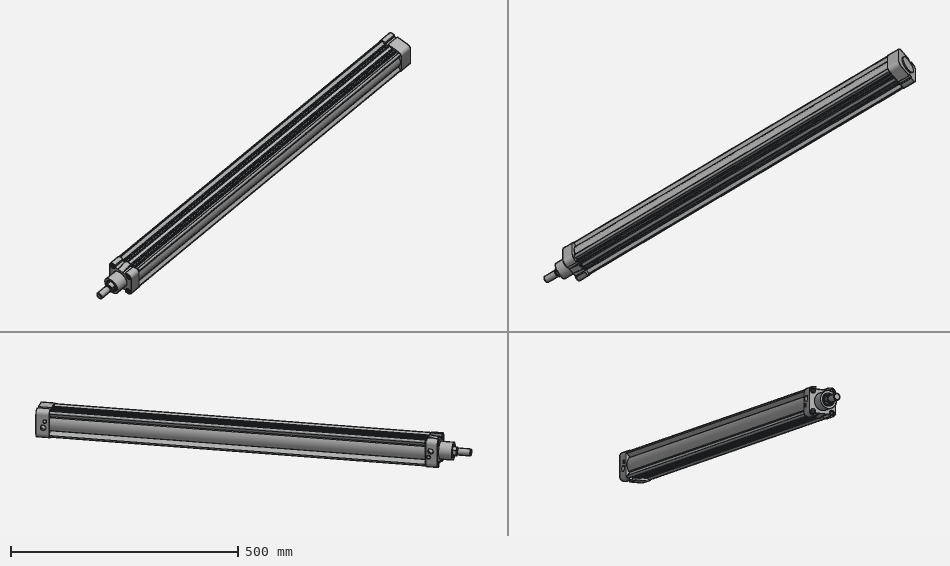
import cadquery as cq
import math


stroke = 800.0
length_beyond_stroke = 106.0
caps_and_tube_length = stroke + length_beyond_stroke
front_cap_length = 26.0
cap_collar_length = 3.0
rear_cap_length = 30.0
front_boss_length = 29.0
rear_boss_length = 3.03
shoulder_distance = 37.0
thread_length = 32.0

cap_size = 65.0
cap_half = cap_size / 2
cap_corner_radius = 10.5
cap_notch_inner = 7.4
cap_notch_outer = 16.0
cap_notch_depth = 6.0
cap_notch_floor = cap_half - cap_notch_depth
cap_face_chamfer = 0.5
collar_diameter = 50.0
boss_diameter = 40.0
seal_recess_diameter = 29.0
seal_recess_depth = 2.5
seal_step_diameter = 24.0
seal_step_depth = 5.0

screw_pitch = 46.5
screw_recess_diameter = 12.0
screw_recess_depth = 1.0
screw_socket_diameter = 6.5
screw_socket_depth = 12.0

port_diameter = 12.5
port_depth = 8.0
port_height = 7.0
front_port_from_face = 15.5
rear_port_from_face = 16.5
cushion_diameter = 8.0
cushion_depth = 3.0
cushion_height = 7.4
cushion_from_face = 20.0
drill_point_angle = 118.0

tube_start = front_cap_length + cap_collar_length
tube_end = caps_and_tube_length - rear_cap_length
tube_length = tube_end - tube_start
tube_half = 30.0
lobe_center = 26.0
lobe_radius = tube_half - lobe_center
lobe_edge = 25.0
lobe_flank = lobe_center + math.sqrt(lobe_radius**2 - (lobe_edge - lobe_center) ** 2)
barrel_radius = 29.5
barrel_edge = 15.0
barrel_flank = math.sqrt(barrel_radius**2 - barrel_edge**2)
groove_inner = 16.2
top_groove_bottom = 23.0
side_groove_bottom = 22.5
groove_wall_rise = 1.5
groove_edge = barrel_edge + groove_wall_rise
rib_half_width = 4.4
rib_top = 28.5
slot_inner = 7.4
slot_outer = 13.3
slot_lip = 27.5
slot_floor = 23.0

rod_diameter = 20.0
thread_diameter = 16.0
undercut_diameter = 14.0
undercut_length = 3.0
tip_chamfer = 1.5
wrench_flats = 17.0
flats_length = shoulder_distance - front_boss_length


def plane_at(y):
    """Sketch plane at position y whose normal is +Y; local x is -X and local y is +Z."""
    return cq.Workplane(cq.Plane(origin=(0, y, 0), xDir=(-1, 0, 0), normal=(0, 1, 0)))


def disc(diameter, y_start, length):
    return plane_at(y_start).circle(diameter / 2).extrude(length)


def block(x_range, y_range, z_range):
    size = [high - low for low, high in (x_range, y_range, z_range)]
    corner = (x_range[0], y_range[0], z_range[0])
    return cq.Workplane("XY").box(*size, centered=False).translate(corner)


def both_z_sides(cutter):
    return cutter.union(cutter.mirror("XY"))


def cap_block(y_start, length):
    square = plane_at(y_start).rect(cap_size, cap_size).extrude(length)
    return square.edges("|Y").fillet(cap_corner_radius)


def screw_holes(diameter, depth):
    """One hole at each corner of the front cap face."""
    corners = plane_at(0).rect(screw_pitch, screw_pitch, forConstruction=True).vertices()
    return corners.circle(diameter / 2).extrude(depth)


def drilled_hole(diameter, depth, y, z):
    """Hole with a drill point, going in along +X from the -X side of a cap."""
    radius = diameter / 2
    point_length = radius / math.tan(math.radians(drill_point_angle / 2))
    half_section = (
        cq.Workplane("XY")
        .polyline([(0, 0), (0, radius), (depth, radius), (depth + point_length, 0)])
        .close()
    )
    return half_section.revolve(360, (0, 0, 0), (1, 0, 0)).translate((-cap_half, y, z))


def make_front_cap():
    """Cap with two notches and a ramp above and below, a collar to the tube and a stepped boss."""
    cap = cap_block(0, front_cap_length).faces("<Y").chamfer(cap_face_chamfer)
    y_range = (0, front_cap_length)
    for side in (-1, 1):
        x_range = sorted((side * cap_notch_inner, side * cap_notch_outer))
        cap = cap.cut(both_z_sides(block(x_range, y_range, (cap_notch_floor, cap_half))))
    ramp_cut = (
        cq.Workplane("YZ")
        .polyline([
            (0, cap_notch_floor),
            (front_cap_length, cap_half),
            (0, cap_half),
        ])
        .close()
        .extrude(cap_notch_inner, both=True)
    )
    cap = cap.cut(both_z_sides(ramp_cut))
    cap = cap.union(disc(collar_diameter, front_cap_length, cap_collar_length))
    cap = cap.union(disc(boss_diameter, -front_boss_length, front_boss_length))
    cap = cap.cut(disc(seal_recess_diameter, -front_boss_length, seal_recess_depth))
    cap = cap.cut(disc(seal_step_diameter, -front_boss_length, seal_step_depth))
    cap = cap.cut(drilled_hole(port_diameter, port_depth, front_port_from_face, port_height))
    cap = cap.cut(drilled_hole(cushion_diameter, cushion_depth, cushion_from_face, -cushion_height))
    cap = cap.cut(screw_holes(screw_recess_diameter, screw_recess_depth))
    return cap.cut(screw_holes(screw_socket_diameter, screw_socket_depth))


def make_rear_cap():
    """Cap with one notch above and below, and a short centering boss."""
    face = caps_and_tube_length
    cap = cap_block(tube_end, rear_cap_length)
    notch = block((-cap_notch_outer, -cap_notch_inner), (tube_end, face), (cap_notch_floor, cap_half))
    cap = cap.cut(both_z_sides(notch))
    cap = cap.union(disc(boss_diameter, face, rear_boss_length))
    cap = cap.cut(drilled_hole(port_diameter, port_depth, face - rear_port_from_face, -port_height))
    return cap.cut(
        drilled_hole(cushion_diameter, cushion_depth, face - cushion_from_face, cushion_height)
    )


def make_tube():
    """One quarter of the profile, from the rib on top to the round barrel at -X, then mirrored."""
    arc_middle = lobe_center + lobe_radius * math.sqrt(0.5)
    barrel_angle = math.asin(barrel_edge / barrel_radius)
    barrel_middle = barrel_radius * math.cos(barrel_angle / 2)
    barrel_middle_height = barrel_radius * math.sin(barrel_angle / 2)
    quarter = (
        plane_at(tube_start)
        .polyline([
            (0, 0),
            (0, rib_top),
            (rib_half_width, rib_top),
            (rib_half_width, slot_lip),
            (slot_inner, slot_lip),
            (slot_inner, slot_floor),
            (slot_outer, slot_floor),
            (slot_outer, slot_lip),
            (groove_inner, slot_lip),
            (groove_inner, top_groove_bottom),
            (lobe_edge, lobe_flank),
        ])
        .threePointArc((arc_middle, arc_middle), (lobe_flank, lobe_edge))
        .lineTo(side_groove_bottom, groove_edge)
        .lineTo(barrel_flank, barrel_edge)
        .threePointArc((barrel_middle, barrel_middle_height), (barrel_radius, 0))
        .close()
        .extrude(tube_length)
    )
    half = quarter.union(quarter.mirror("XY"))
    return half.union(half.mirror("YZ")).clean()


def make_rod():
    """Rod seated in the front cap, with wrench flats, an undercut and a plain thread blank."""
    rod = disc(rod_diameter, -shoulder_distance, shoulder_distance + front_cap_length)
    beyond_flats = block(
        (wrench_flats / 2, rod_diameter),
        (-shoulder_distance, -shoulder_distance + flats_length),
        (-rod_diameter, rod_diameter),
    )
    rod = rod.cut(beyond_flats).cut(beyond_flats.mirror("YZ"))
    thread_tip = -shoulder_distance - thread_length
    thread = disc(thread_diameter, thread_tip, thread_length - undercut_length)
    thread = thread.faces("<Y").chamfer(tip_chamfer)
    undercut = disc(undercut_diameter, -shoulder_distance - undercut_length, undercut_length)
    return rod.union(undercut).union(thread)


rod = make_rod()
rod_bore = disc(rod_diameter, -front_boss_length, front_boss_length + front_cap_length)
housing = make_tube().union(make_front_cap().cut(rod_bore)).union(make_rear_cap())

result = cq.Compound.makeCompound([housing.val(), rod.val()])